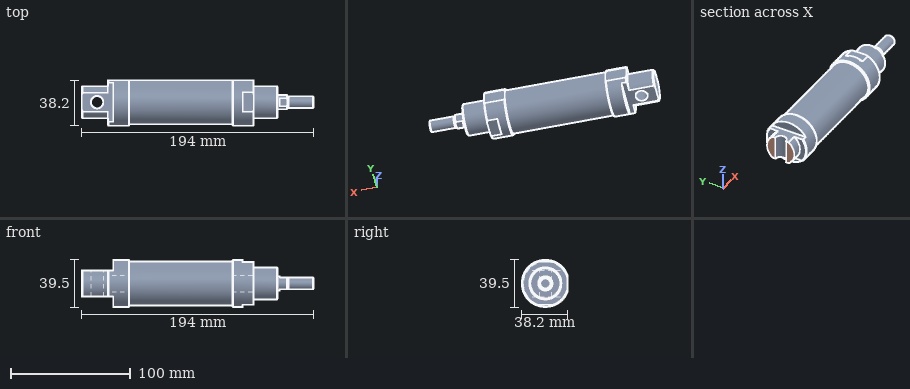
import cadquery as cq


shoulder_x = 22.0
tongue_end_x = 26.5
rear_cap_end_x = 40.0
head_start_x = 126.0
head_flat_x = 134.7
head_end_x = 144.0
neck_end_x = 164.0
rod_flat_x = 165.7
rod_shoulder_x = 172.0
thread_start_x = 173.2
rod_end_x = 194.0

cap_diameter = 39.5
barrel_diameter = 37.0
neck_diameter = 27.0
rod_diameter = 12.0
thread_diameter = 10.0
relief_diameter = 9.0
tongue_thickness = 22.0
head_flat_width = 36.0
rod_flat_width = 10.0
eye_hole_diameter = 10.2
eye_hole_x = 13.0
side_flat_y = barrel_diameter / 2

cap_chamfer = 0.7
neck_chamfer = 1.0
rod_chamfer = 0.6
thread_chamfer = 0.8


def cylinder(x_start, x_end, diameter):
    """Solid cylinder on the X axis."""
    return (
        cq.Workplane("YZ", origin=(x_start, 0, 0))
        .circle(diameter / 2)
        .extrude(x_end - x_start)
    )


def flat_cutters(x_start, x_end, width, stock):
    """Two blocks that leave a pair of flats facing +Z and -Z, the given width apart."""
    length = x_end - x_start
    slab = cq.Workplane("XY").box(length, stock, stock, centered=(False, True, False))
    upper = slab.translate((x_start, 0, width / 2))
    lower = slab.translate((x_start, 0, -width / 2 - stock))
    return upper.union(lower)


def cap_disc(x_start, x_end):
    """Chamfered cap with one flat on its +Y side, flush with the barrel."""
    disc = cylinder(x_start, x_end, cap_diameter).faces("<X or >X").chamfer(cap_chamfer)
    side_cut = (
        cq.Workplane("XY", origin=(x_start, side_flat_y, 0))
        .box(x_end - x_start, cap_diameter, cap_diameter, centered=(False, False, True))
    )
    return disc.cut(side_cut)


def make_rear_cap():
    tongue = cylinder(0, shoulder_x, neck_diameter).faces("<X").chamfer(neck_chamfer)
    body = cap_disc(shoulder_x, rear_cap_end_x).union(tongue)
    body = body.cut(flat_cutters(0, tongue_end_x, tongue_thickness, cap_diameter))
    eye_hole = (
        cq.Workplane("XY", origin=(eye_hole_x, 0, -tongue_thickness / 2))
        .circle(eye_hole_diameter / 2)
        .extrude(tongue_thickness)
    )
    return body.cut(eye_hole)


def make_barrel():
    return cylinder(rear_cap_end_x, head_start_x, barrel_diameter)


def make_head():
    body = cap_disc(head_start_x, head_end_x)
    body = body.cut(flat_cutters(head_flat_x, head_end_x, head_flat_width, cap_diameter))
    neck = cylinder(head_end_x, neck_end_x, neck_diameter).faces(">X").chamfer(neck_chamfer)
    return body.union(neck)


def make_rod():
    shank = cylinder(neck_end_x, rod_shoulder_x, rod_diameter).faces(">X").chamfer(rod_chamfer)
    shank = shank.cut(flat_cutters(rod_flat_x, rod_shoulder_x, rod_flat_width, rod_diameter))
    relief = cylinder(rod_shoulder_x, thread_start_x, relief_diameter)
    thread = cylinder(thread_start_x, rod_end_x, thread_diameter).faces(">X").chamfer(thread_chamfer)
    return shank.union(relief).union(thread)


rear_cap = make_rear_cap()
barrel = make_barrel()
head = make_head()
rod = make_rod()

result = cq.Compound.makeCompound([rear_cap.val(), barrel.val(), head.val(), rod.val()])